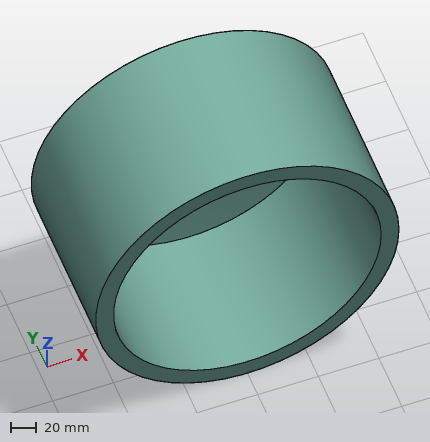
import cadquery as cq
import math

outer_radius = 125.0
wall = 14.8
total_length = 155.5
dome_rise = 14.5

inner_radius = outer_radius - wall
skirt_length = total_length - dome_rise
front = -total_length / 2
dome_edge = front + skirt_length
dome_top = front + total_length

outer_dome_radius = (outer_radius**2 + dome_rise**2) / (2 * dome_rise)
inner_dome_radius = outer_dome_radius - wall
dome_center = dome_top - outer_dome_radius


def domed_plug(radius, edge, sphere_radius):
    """Solid of revolution about Y, from the open end to a spherical end."""
    middle_radius = radius / 2
    middle = dome_center + math.sqrt(sphere_radius**2 - middle_radius**2)
    return (
        cq.Workplane("XY")
        .moveTo(0, front)
        .lineTo(radius, front)
        .lineTo(radius, edge)
        .threePointArc((middle_radius, middle), (0, dome_center + sphere_radius))
        .close()
        .revolve(360, (0, 0, 0), (0, 1, 0))
    )


inner_edge = dome_center + math.sqrt(inner_dome_radius**2 - inner_radius**2)

body = domed_plug(outer_radius, dome_edge, outer_dome_radius)
cavity = domed_plug(inner_radius, inner_edge, inner_dome_radius)
result = body.cut(cavity)